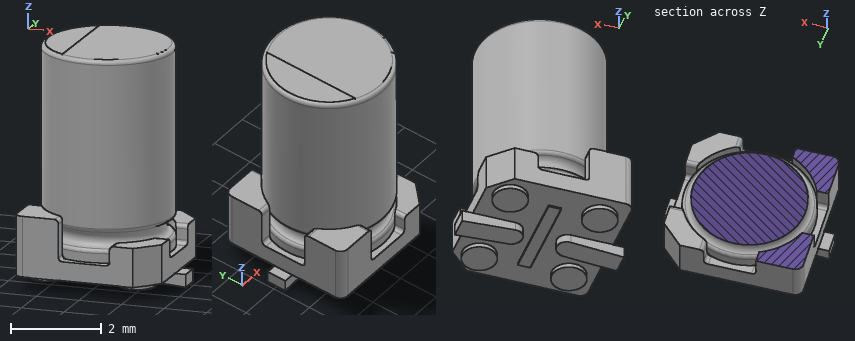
import cadquery as cq
import math


base_width = 3.3
corner_radius = 0.2
corner_chamfer = 0.5
plinth_height = 0.44
tall_post_height = 1.4
short_post_height = 0.9
notch_width = 1.2
notch_fillet = 0.1

foot_diameter = 0.8
foot_height = 0.11
foot_offset = 1.05
rib_width = 0.3
rib_height = 0.04
rib_length = 2 * foot_offset

can_radius = 1.5
can_top = 5.1
rim_fillet = 0.1
groove_z = 0.945
groove_radius = 0.2
groove_fillet = 0.1

mark_radius = can_radius - rim_fillet
mark_edge_x = -0.65
mark_depth = 0.05

lead_span = 3.8
lead_width = 0.5
lead_inner_reach = 0.4
lead_tip_thickness = 0.3
lead_inner_thickness = 0.2


def make_half_side(post_height, side):
    """Wall running from the middle of the notch floor out to the post at one end of the X axis."""
    outer_edge = side * base_width / 2
    notch_edge = side * notch_width / 2
    floor_end = side * (notch_width / 2 - notch_fillet)
    top_start = side * (notch_width / 2 + notch_fillet)
    floor_fillet_z = plinth_height + notch_fillet
    top_fillet_z = post_height - notch_fillet
    fillet_diagonal = notch_fillet * math.sqrt(0.5)
    return (
        cq.Workplane("XZ")
        .moveTo(0, 0)
        .lineTo(0, plinth_height)
        .lineTo(floor_end, plinth_height)
        .threePointArc(
            (floor_end + side * fillet_diagonal, floor_fillet_z - fillet_diagonal),
            (notch_edge, floor_fillet_z),
        )
        .lineTo(notch_edge, top_fillet_z)
        .threePointArc(
            (top_start - side * fillet_diagonal, top_fillet_z + fillet_diagonal),
            (top_start, post_height),
        )
        .lineTo(outer_edge, post_height)
        .lineTo(outer_edge, 0)
        .close()
        .extrude(base_width / 2, both=True)
    )


def make_notched_block():
    """Plinth with tall posts on -X, short posts on +X and a notch in the middle of every side."""
    block = cq.Workplane("XY")
    for x_side, post_height in ((-1, tall_post_height), (1, short_post_height)):
        for y_side in (-1, 1):
            along_x = make_half_side(post_height, x_side)
            along_y = make_half_side(post_height, y_side).rotate((0, 0, 0), (0, 0, 1), 90)
            block = block.add(along_x.intersect(along_y))
    return block.combine()


def make_can_envelope():
    """Plain cylinder that the can fills, standing on the notch floor."""
    can_height = can_top - plinth_height
    return cq.Workplane("XY").workplane(offset=plinth_height).circle(can_radius).extrude(can_height)


def make_base():
    """Notched block with a round seat for the can, and feet and a rib underneath."""
    outline = (
        cq.Workplane("XY")
        .rect(base_width, base_width)
        .extrude(tall_post_height)
        .edges("|Z and <X")
        .fillet(corner_radius)
        .edges("|Z and >X")
        .chamfer(corner_chamfer)
    )
    base = make_notched_block().intersect(outline).cut(make_can_envelope())
    feet = cq.Workplane("XY").rect(2 * foot_offset, 2 * foot_offset, forConstruction=True).vertices()
    base = base.union(feet.circle(foot_diameter / 2).extrude(-foot_height))
    rib = cq.Workplane("XY").rect(rib_width, rib_length).extrude(-rib_height)
    return base.union(rib)


def make_mark():
    """Thin segment of the top disc on the -X side."""
    marked_side = (
        cq.Workplane("XY")
        .box(can_radius, 2 * can_radius, can_top, centered=(False, True, False))
        .translate((mark_edge_x - can_radius, 0, 0))
    )
    disc = cq.Workplane("XY").workplane(offset=can_top).circle(mark_radius).extrude(-mark_depth)
    return disc.intersect(marked_side)


def make_can():
    """Round can with a rounded top rim and a rolled groove above the plinth."""
    groove_ring = cq.Solid.makeTorus(can_radius, groove_radius).translate(cq.Vector(0, 0, groove_z))
    can = make_can_envelope().cut(cq.Workplane(groove_ring))
    for groove_edge_z in (groove_z - groove_radius, groove_z + groove_radius):
        groove_edge = cq.selectors.NearestToPointSelector((0, 0, groove_edge_z))
        can = can.edges("%CIRCLE").edges(groove_edge).fillet(groove_fillet)
    can = can.faces(">Z").edges().fillet(rim_fillet)
    return can.cut(make_mark())


def make_lead(side):
    """Flat lead under the plinth, thickening outward, with a full-round inner end."""
    tip = side * lead_span / 2
    inner = side * lead_inner_reach
    round_center = side * (lead_inner_reach + lead_width / 2)
    wedge = (
        cq.Workplane("XZ")
        .polyline([(inner, 0), (tip, 0), (tip, -lead_tip_thickness), (inner, -lead_inner_thickness)])
        .close()
        .extrude(lead_width / 2, both=True)
    )
    plan = (
        cq.Workplane("XY")
        .moveTo(tip, lead_width / 2)
        .lineTo(round_center, lead_width / 2)
        .threePointArc((inner, 0), (round_center, -lead_width / 2))
        .lineTo(tip, -lead_width / 2)
        .close()
        .extrude(-lead_tip_thickness)
    )
    return wedge.intersect(plan)


base = make_base()
can = make_can()
mark = make_mark()
leads = [make_lead(side) for side in (-1, 1)]

result = cq.Compound.makeCompound([base.val(), can.val(), mark.val(), *[lead.val() for lead in leads]])